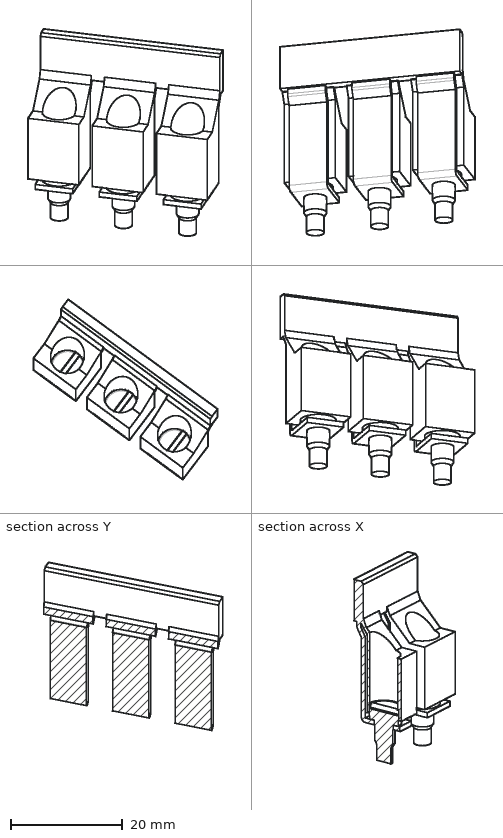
import cadquery as cq
import math


total_width = 33.3
total_depth = 10.4
total_height = 33.6
pole_count = 3
block_width = 9.48
pitch = (total_width - block_width) / (pole_count - 1)
pole_positions = [(i - (pole_count - 1) / 2) * pitch for i in range(pole_count)]

bar_thickness = 2.2
bar_height = 8.0
bar_chamfer = 0.5
bar_bottom = total_height - bar_height

sheet = 0.97
leg_width = 7.0
leg_upper_back = 0.65
leg_lower_back = leg_upper_back + sheet
jog_angle = math.radians(30)
jog_bend_top = 24.75
foot_bottom = 6.65
foot_top = foot_bottom + sheet
foot_end = 10.15

block_back = 2.85
block_top = 20.63
block_bottom = 8.67
neck_top = 26.55
neck_back = leg_lower_back
neck_back_bottom = 25.47
neck_back_end = 23.6
slope_start = 2.82
slope_end = 7.15
slope_top = block_top + slope_end - slope_start

screw_depth = 6.6
head_diameter = 6.4
head_height = 3.02
head_rounding = 0.4
slot_width = 0.97
slot_depth = 1.0
shank_diameter = 4.05
shank_bottom = 3.8
tip_diameter = 3.15
tip_top = 3.02
access_diameter = 6.0
head_top = foot_top + head_height


def extrude_side_profile(profile, width):
    """Extrude a closed YZ profile symmetrically about X = 0."""
    return profile.close().extrude(width / 2, both=True)


def cylinder(diameter, bottom, top):
    """Vertical cylinder on the screw axis of the pole at X = 0."""
    base = cq.Workplane("XY", origin=(0, -screw_depth, bottom))
    return base.circle(diameter / 2).extrude(top - bottom)


def on_circle(centre, angle):
    """Point one sheet thickness from a (Y, Z) centre, at an angle from +Y towards +Z."""
    return (centre[0] + sheet * math.cos(angle), centre[1] + sheet * math.sin(angle))


def make_bar():
    """Top bar across all poles, chamfered along its upper front edge."""
    bar = cq.Workplane("XY").box(total_width, bar_thickness, bar_height)
    bar = bar.translate((0, -bar_thickness / 2, bar_bottom + bar_height / 2))
    return bar.edges("<Y and >Z").chamfer(bar_chamfer)


def make_block():
    """Sloped block on its neck, with the screwdriver hole and the bore for the screw head."""
    profile = cq.Workplane("YZ").polyline([
        (-neck_back, bar_bottom),
        (-neck_back, neck_top),
        (-bar_thickness, neck_top),
        (-slope_start, slope_top),
        (-slope_end, block_top),
        (-total_depth, block_top),
        (-total_depth, block_bottom),
        (-block_back, block_bottom),
        (-block_back, neck_back_end),
        (-neck_back, neck_back_bottom),
    ])
    block = extrude_side_profile(profile, block_width)
    access_hole = cylinder(access_diameter, block_bottom, total_height)
    head_bore = cylinder(head_diameter, block_bottom, head_top)
    return block.cut(access_hole).cut(head_bore)


def make_leg():
    """Jogged sheet metal strip with a foot that is bored for the screw."""
    upper_bend = (-neck_back, jog_bend_top)
    jog_start = on_circle(upper_bend, -jog_angle)
    jog_run = leg_lower_back + jog_start[0]
    lower_bend = (-leg_lower_back, jog_start[1] - jog_run / math.tan(jog_angle))
    jog_end = on_circle(lower_bend, math.pi - jog_angle)
    lower_front = leg_lower_back + sheet
    foot_bend = (-lower_front, foot_top)

    profile = (
        cq.Workplane("YZ")
        .moveTo(-leg_upper_back, bar_bottom)
        .lineTo(*on_circle(upper_bend, 0))
        .threePointArc(on_circle(upper_bend, -jog_angle / 2), jog_start)
        .lineTo(*lower_bend)
        .lineTo(-leg_lower_back, foot_top)
        .threePointArc(on_circle(foot_bend, -math.pi / 4), (-lower_front, foot_bottom))
        .lineTo(-foot_end, foot_bottom)
        .lineTo(-foot_end, foot_top)
        .lineTo(-lower_front, foot_top)
        .lineTo(*on_circle(lower_bend, math.pi))
        .threePointArc(on_circle(lower_bend, math.pi - jog_angle / 2), jog_end)
        .lineTo(*upper_bend)
        .lineTo(-neck_back, bar_bottom)
    )
    leg = extrude_side_profile(profile, leg_width)
    return leg.cut(cylinder(shank_diameter, foot_bottom, foot_top))


def make_housing():
    """One body: the bar with a block and a leg for each pole."""
    housing = make_bar()
    block = make_block()
    leg = make_leg()
    for x in pole_positions:
        housing = housing.union(block.translate((x, 0, 0)))
        housing = housing.union(leg.translate((x, 0, 0)))
    return housing


def make_screw():
    """Slotted screw with a stepped shank and a rounded head edge, the head resting on the foot of the leg."""
    outline = cq.Workplane("XZ", origin=(0, -screw_depth, 0)).polyline([
        (0, 0),
        (tip_diameter / 2, 0),
        (tip_diameter / 2, tip_top),
        (shank_diameter / 2, shank_bottom),
        (shank_diameter / 2, foot_top),
        (head_diameter / 2, foot_top),
        (head_diameter / 2, head_top),
        (0, head_top),
    ])
    screw = outline.close().revolve(360, (0, 0), (0, 1))
    screw = screw.faces(">Z").edges().fillet(head_rounding)
    slot = cq.Workplane("XY").box(slot_width, head_diameter, slot_depth)
    return screw.cut(slot.translate((0, -screw_depth, head_top - slot_depth / 2)))


housing = make_housing()
screw = make_screw()
screws = [screw.translate((x, 0, 0)) for x in pole_positions]

result = cq.Compound.makeCompound([housing.val(), *[body.val() for body in screws]])